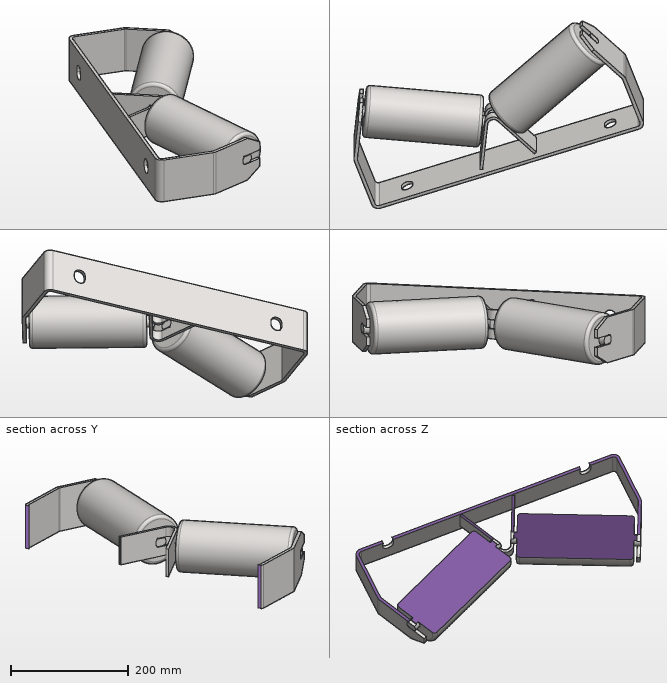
import cadquery as cq
import math


frame_length = 490.0
frame_width = 80.0
frame_thickness = 6.0
frame_bend_radius = 12.0
side_height = 101.0
lean_angle = 25.0
arm_length = 102.0
tip_chamfer_along = 29.0
tip_chamfer_across = 16.5
mount_hole_width = 20.0
mount_hole_length = 26.0
mount_hole_spacing = 366.5

bracket_width = 51.0
bracket_thickness = 5.0
ridge_height = 97.5
ridge_radius = 14.5

roller_diameter = 89.0
roller_length = 200.0
roller_edge_radius = 6.0
shaft_diameter = 20.0
shaft_flat_width = 14.0
slot_width = 16.0
shaft_distance = 72.5

lean = math.radians(lean_angle)
arm_direction = cq.Vector(math.sin(lean), math.cos(lean), 0)
axis_direction = cq.Vector(math.cos(lean), -math.sin(lean), 0)

half_length = frame_length / 2
frame_inner_radius = frame_bend_radius - frame_thickness
arm_bend_center = cq.Vector(frame_bend_radius - half_length, side_height, 0)
arm_foot = arm_bend_center - axis_direction * frame_bend_radius

ridge_center = cq.Vector(0, ridge_height - ridge_radius, 0)
ridge_inner_radius = ridge_radius - bracket_thickness

arm_outer_level = arm_foot.dot(axis_direction)
arm_inner_level = arm_outer_level + frame_thickness
leg_outer_level = ridge_center.dot(axis_direction) - ridge_radius
roller_level = (arm_inner_level + leg_outer_level) / 2
support_gap = leg_outer_level - arm_inner_level
shaft_height_along_arm = arm_foot.dot(arm_direction) + shaft_distance
roller_center = axis_direction * roller_level + arm_direction * shaft_height_along_arm

roller_plane = cq.Plane(origin=roller_center, xDir=arm_direction, normal=axis_direction)


def xy(vector):
    return (vector.x, vector.y)


def on_circle(center, radius, degrees):
    """Point on a circle in XY, with the angle counted from +X."""
    angle = math.radians(degrees)
    return (center.x + radius * math.cos(angle), center.y + radius * math.sin(angle))


def mirrored_union(half):
    return half.union(half.mirror("YZ")).clean()


def make_shaft_slot():
    """Tool for one half: rounded seat around the shaft axis, open along the arm, through everything."""
    half_width = slot_width / 2
    seat_radius = shaft_diameter / 2
    seat_start = -math.sqrt(seat_radius**2 - half_width**2)
    return (
        cq.Workplane(roller_plane)
        .moveTo(arm_length, half_width)
        .lineTo(seat_start, half_width)
        .threePointArc((-seat_radius, 0), (seat_start, -half_width))
        .lineTo(arm_length, -half_width)
        .close()
        .extrude(half_length, both=True)
    )


def make_tip_corners():
    """Tool that takes off both corners of the left arm tip."""
    tip_corner = arm_foot + arm_direction * arm_length
    tip_plane = cq.Plane(origin=tip_corner, xDir=arm_direction, normal=axis_direction)
    half_width = frame_width / 2
    corners = cq.Workplane(tip_plane)
    for side in (-1, 1):
        corners = (
            corners.moveTo(0, side * half_width)
            .lineTo(-tip_chamfer_along, side * half_width)
            .lineTo(0, side * (half_width - tip_chamfer_across))
            .close()
        )
    return corners.extrude(frame_thickness)


def make_mount_hole():
    hole_plane = cq.Workplane("XZ", origin=(-mount_hole_spacing / 2, 0, 0))
    return hole_plane.slot2D(mount_hole_length, mount_hole_width, 90).extrude(-frame_thickness)


def make_frame():
    """Strip bent into a tray outline: a back, two sides and two arms leaning inwards."""
    corner_center = cq.Vector(frame_bend_radius - half_length, frame_bend_radius, 0)
    tip_outer = arm_foot + arm_direction * arm_length
    tip_inner = tip_outer + axis_direction * frame_thickness
    inner_foot = arm_foot + axis_direction * frame_thickness
    corner_middle = 225
    arm_bend_middle = 180 - lean_angle / 2
    half = (
        cq.Workplane("XY")
        .moveTo(0, 0)
        .lineTo(corner_center.x, 0)
        .threePointArc(
            on_circle(corner_center, frame_bend_radius, corner_middle),
            (-half_length, corner_center.y),
        )
        .lineTo(-half_length, side_height)
        .threePointArc(on_circle(arm_bend_center, frame_bend_radius, arm_bend_middle), xy(arm_foot))
        .lineTo(*xy(tip_outer))
        .lineTo(*xy(tip_inner))
        .lineTo(*xy(inner_foot))
        .threePointArc(
            on_circle(arm_bend_center, frame_inner_radius, arm_bend_middle),
            (frame_thickness - half_length, side_height),
        )
        .lineTo(frame_thickness - half_length, corner_center.y)
        .threePointArc(
            on_circle(corner_center, frame_inner_radius, corner_middle),
            (corner_center.x, frame_thickness),
        )
        .lineTo(0, frame_thickness)
        .close()
        .extrude(frame_width / 2, both=True)
    )
    half = half.cut(make_tip_corners()).cut(make_mount_hole()).cut(make_shaft_slot())
    return mirrored_union(half)


def leg_foot(radius):
    """Foot of a leg face tangent to a ridge circle of this radius; the feet end square to the legs."""
    resting_face_top = ridge_center - axis_direction * ridge_inner_radius
    leg_length = (resting_face_top.y - frame_thickness) / arm_direction.y
    return xy(ridge_center - axis_direction * radius - arm_direction * leg_length)


def make_bracket():
    """Inverted V with a rounded ridge, standing on the inner edges of its square feet."""
    leg_angle = 180 - lean_angle
    ridge_middle = (leg_angle + 90) / 2
    half = (
        cq.Workplane("XY")
        .moveTo(*leg_foot(ridge_radius))
        .lineTo(*on_circle(ridge_center, ridge_radius, leg_angle))
        .threePointArc(on_circle(ridge_center, ridge_radius, ridge_middle), (0, ridge_height))
        .lineTo(0, ridge_height - bracket_thickness)
        .threePointArc(
            on_circle(ridge_center, ridge_inner_radius, ridge_middle),
            on_circle(ridge_center, ridge_inner_radius, leg_angle),
        )
        .lineTo(*leg_foot(ridge_inner_radius))
        .close()
        .extrude(bracket_width / 2, both=True)
    )
    return mirrored_union(half.cut(make_shaft_slot()))


def on_roller_axis(start):
    """Workplane across the roller axis, at a distance from the middle of the roller."""
    return cq.Workplane(roller_plane).workplane(offset=start)


def make_shaft_end(start, length):
    """Part of the shaft with two flats, so that it fits between the sides of a slot."""
    flats = on_roller_axis(start).rect(shaft_diameter, shaft_flat_width).extrude(length)
    return on_roller_axis(start).circle(shaft_diameter / 2).extrude(length).intersect(flats)


def make_left_roller():
    """Roller with its shaft: round between the supports, flatted and flush inside them."""
    barrel = (
        on_roller_axis(-roller_length / 2)
        .circle(roller_diameter / 2)
        .extrude(roller_length)
        .edges("%CIRCLE")
        .fillet(roller_edge_radius)
    )
    shaft = on_roller_axis(-support_gap / 2).circle(shaft_diameter / 2).extrude(support_gap)
    arm_end = make_shaft_end(-support_gap / 2 - frame_thickness, frame_thickness)
    bracket_end = make_shaft_end(support_gap / 2, bracket_thickness)
    return barrel.union(shaft).union(arm_end).union(bracket_end)


frame = make_frame()
bracket = make_bracket()
left_roller = make_left_roller()
right_roller = left_roller.mirror("YZ")

result = cq.Compound.makeCompound([frame.val(), bracket.val(), left_roller.val(), right_roller.val()])